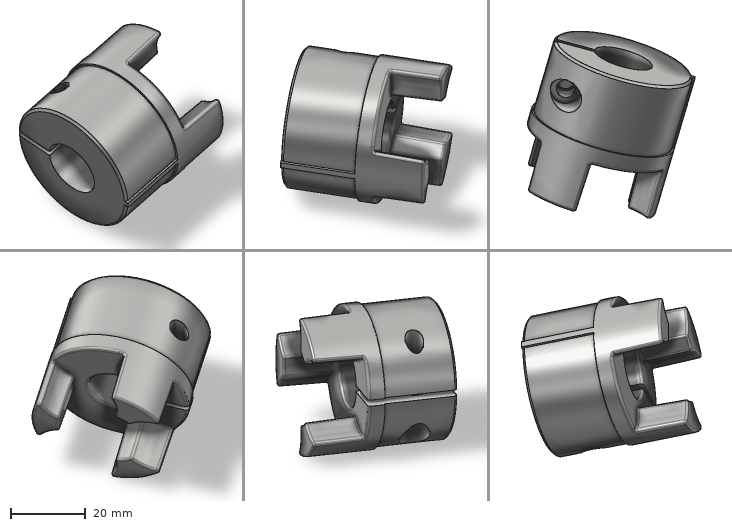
import cadquery as cq
import math

total_length = 39.22
outer_radius = 19.9
bore_radius = 8.0
bore_round = 0.8

hub_radius = 19.25
flange_start = 20.35
floor_y = 25.15
hub_chamfer = 0.68
slot_width = 1.75

screw_x = -13.15
screw_y = 10.22
screw_diameter = 5.0
head_diameter = 8.3
head_seat_z = -7.15

jaw_inner_radius = (12.2, 10.45, 11.18)
jaw_count = len(jaw_inner_radius)
jaw_length = total_length - floor_y
jaw_draft = 1.2
jaw_nose_x = 9.55
jaw_back_x = 23.85
lobe_distance = 15.35
lobe_radius = 11.05
lobe_end_angle = 10.0

root_round = 0.48
rim_round = 0.8
tip_round = 0.65
inner_edge_round = 0.7

blank_radius = 27.85

edge_sample_steps = 4
tolerance = 0.005


def cylinder(radius, start, end):
    """Solid cylinder on the Y axis between two Y positions."""
    return cq.Workplane("XZ", origin=(0, start, 0)).circle(radius).extrude(start - end)


def jaw(inner_radius):
    """Drafted jaw centred on +X, reaching past the rim, with hollow sides for the spider lobes."""
    half_pitch = math.pi / jaw_count
    lobe_x = lobe_distance * math.cos(half_pitch)
    lobe_z = lobe_distance * math.sin(half_pitch)
    start_angle = math.acos((jaw_nose_x - lobe_x) / lobe_radius)
    end_angle = math.radians(lobe_end_angle)

    def side_point(angle):
        """Point on the lobe arc that hollows the +Z side of the jaw."""
        return (lobe_x + lobe_radius * math.cos(angle), lobe_z - lobe_radius * math.sin(angle))

    inner = side_point(start_angle)
    middle = side_point((start_angle + end_angle) / 2)
    outer = side_point(end_angle)
    body = (
        cq.Workplane("XZ", origin=(0, floor_y, 0))
        .moveTo(inner[0], -inner[1])
        .lineTo(*inner)
        .threePointArc(middle, outer)
        .lineTo(jaw_back_x, outer[1])
        .lineTo(jaw_back_x, -outer[1])
        .lineTo(outer[0], -outer[1])
        .threePointArc((middle[0], -middle[1]), (inner[0], -inner[1]))
        .close()
        .extrude(-jaw_length, taper=jaw_draft)
    )
    inner_cone = (
        cq.Workplane("XZ", origin=(0, floor_y, 0))
        .circle(inner_radius)
        .extrude(-jaw_length, taper=-jaw_draft)
    )
    return round_edges(body.cut(inner_cone), inner_edge_round, is_inner_edge)


def samples(edge):
    """Points spread along an edge."""
    return [edge.positionAt(step / edge_sample_steps) for step in range(edge_sample_steps + 1)]


def y_range(edge):
    """Smallest and largest Y along an edge."""
    heights = [point.y for point in samples(edge)]
    return min(heights), max(heights)


def radius_range(edge):
    """Smallest and largest distance of an edge from the coupling axis."""
    radii = [math.hypot(point.x, point.z) for point in samples(edge)]
    return min(radii), max(radii)


def is_root_edge(edge):
    """Edge where a jaw wall meets the floor."""
    low, high = y_range(edge)
    on_floor = low > floor_y - tolerance and high < floor_y + tolerance
    return on_floor and radius_range(edge)[0] < outer_radius


def is_rim_edge(edge):
    """Edge where the floor or a jaw side meets the outer cylinder."""
    low, high = y_range(edge)
    smallest, largest = radius_range(edge)
    on_rim = outer_radius - smallest < tolerance and largest - outer_radius < tolerance
    return on_rim and low > floor_y - tolerance and low < total_length - tolerance


def is_tip_edge(edge):
    """Edge around the end face of a jaw."""
    return y_range(edge)[0] > total_length - tolerance


def is_inner_edge(edge):
    """Lengthwise edge between a jaw side and its inner face."""
    low, high = y_range(edge)
    lengthwise = high - low > jaw_length / 2
    middle_radius = (max(jaw_inner_radius) + outer_radius) / 2
    return lengthwise and radius_range(edge)[1] < middle_radius


def is_bore_floor_edge(edge):
    """Edge where the bore opens into the floor."""
    return y_range(edge)[0] > floor_y - tolerance and radius_range(edge)[1] < bore_radius + tolerance


def round_edges(body, radius, *rules):
    """Fillet every edge that meets one of the rules."""
    chosen = [edge for edge in body.edges().vals() if any(rule(edge) for rule in rules)]
    return body.newObject(chosen).fillet(radius)


def jaw_ring():
    """Flange disc with its jaws and all their rounds."""
    ring = cylinder(blank_radius, flange_start, floor_y)
    for index, inner_radius in enumerate(jaw_inner_radius):
        turn = -index * 360 / jaw_count
        ring = ring.union(jaw(inner_radius).rotate((0, 0, 0), (0, 1, 0), turn))
    ring = round_edges(ring, root_round, is_root_edge)
    ring = ring.intersect(cylinder(outer_radius, flange_start, total_length))
    ring = round_edges(ring, rim_round, is_rim_edge)
    return round_edges(ring, tip_round, is_tip_edge)


def hub():
    """Clamping hub with a chamfered plain end and a locating key on +X."""
    barrel = cylinder(hub_radius, 0, flange_start).faces("<Y").chamfer(hub_chamfer)
    key = (
        cq.Workplane("XY")
        .box(outer_radius, flange_start, slot_width, centered=(False, False, True))
        .intersect(cylinder(outer_radius, 0, flange_start))
    )
    return barrel.union(key)


def clamp_slot():
    """Slot from the bore out through the -X side, over the full length."""
    return (
        cq.Workplane("XY", origin=(-outer_radius, 0, 0))
        .box(outer_radius, total_length, slot_width, centered=(False, False, True))
    )


def clamp_screw_hole():
    """Through hole along Z with a counterbore for the screw head from -Z."""
    shank = (
        cq.Workplane("XY", origin=(screw_x, screw_y, -outer_radius))
        .circle(screw_diameter / 2)
        .extrude(2 * outer_radius)
    )
    head = (
        cq.Workplane("XY", origin=(screw_x, screw_y, -outer_radius))
        .circle(head_diameter / 2)
        .extrude(outer_radius + head_seat_z)
    )
    return shank.union(head)


body = jaw_ring().union(hub()).cut(cylinder(bore_radius, 0, total_length))
body = round_edges(body, bore_round, is_bore_floor_edge)
result = body.cut(clamp_slot()).cut(clamp_screw_hole())